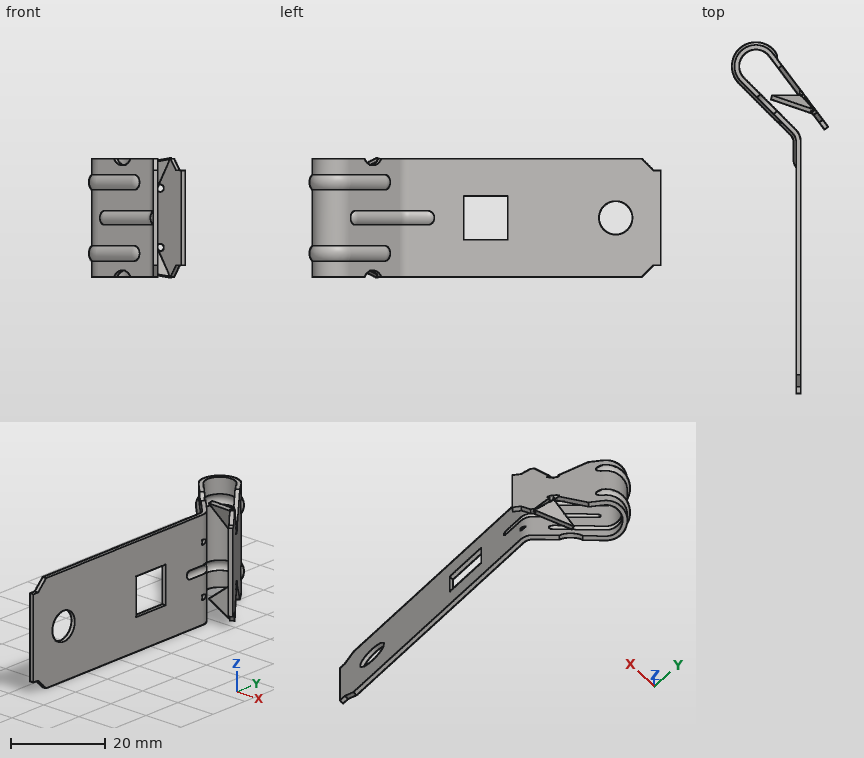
import cadquery as cq
import math

THICKNESS = 1.0
WIDTH = 25.0
BEND_RADIUS = 3.3
BEND_ANGLE = 45.0
COIL_RADIUS = 4.0
COIL_CENTER = (-9.0, 69.0)
COIL_START_ANGLE = 180.0 + BEND_ANGLE
COIL_END_ANGLE = 37.0
ARM_LENGTH = 19.38

END_WIDTH = 20.0
PLATE_SHOULDER = 1.5
ROUND_HOLE_DIAMETER = 7.0
ROUND_HOLE_Y = 9.5
SQUARE_HOLE_SIDE = 9.2
SQUARE_HOLE_Y = 36.9

RIB_HEIGHT = 0.6
SIDE_RIB_WIDTH = 3.2
SIDE_RIB_Z = 7.5
SIDE_RIB_LEG_LENGTH = 10.85
MIDDLE_RIB_WIDTH = 3.0
MIDDLE_RIB_END_Y = 49.2
MIDDLE_RIB_COIL_GAP = 2.1

NOTCH_CENTER = 7.3
NOTCH_LENGTH = 5.0
NOTCH_DEPTH = 1.45

CUT_START = 3.2
CUT_END = (10.7, 5.5)
FOLD_START = (11.4, 6.8)
FOLD_END = 14.6
CHAMFER_START = 15.5
CHAMFER_END = 17.5
RELIEF_DIAMETER = 1.5
RELIEF_CENTER = (0.97, 6.25)

FLAP_ROOT = (0.5, 62.9, 6.5)
FLAP_CORNER = (3.3, 59.85, 12.67)
FLAP_TIP = (-5.6, 62.9, 11.15)


def polar(center, radius, degrees):
    angle = math.radians(degrees)
    return (center[0] + radius * math.cos(angle), center[1] + radius * math.sin(angle))


def along(point, direction, distance):
    return (point[0] + direction[0] * distance, point[1] + direction[1] * distance)


LEG_TOP = polar(COIL_CENTER, COIL_RADIUS, COIL_START_ANGLE)
LEG_DIRECTION = polar((0, 0), 1, -BEND_ANGLE)
VIRTUAL_CORNER_Y = LEG_TOP[1] + LEG_TOP[0] * math.tan(math.radians(BEND_ANGLE))
BEND_Y = VIRTUAL_CORNER_Y - BEND_RADIUS * math.tan(math.radians(BEND_ANGLE / 2))
BEND_CENTER = (-BEND_RADIUS, BEND_Y)
ARM_START = polar(COIL_CENTER, COIL_RADIUS, COIL_END_ANGLE)
ARM_DIRECTION = polar((0, 0), 1, COIL_END_ANGLE - 90)
COIL_MIDDLE_ANGLE = (COIL_START_ANGLE + COIL_END_ANGLE) / 2


def bend_point(offset, angle):
    return polar(BEND_CENTER, BEND_RADIUS - offset, angle)


def coil_point(offset, angle):
    return polar(COIL_CENTER, COIL_RADIUS + offset, angle)


def strip(inner, outer):
    """Band between two offsets from the mid surface; positive is the coil's outside."""
    arm_outer = along(coil_point(outer, COIL_END_ANGLE), ARM_DIRECTION, ARM_LENGTH)
    arm_inner = along(coil_point(inner, COIL_END_ANGLE), ARM_DIRECTION, ARM_LENGTH)
    outline = (
        cq.Workplane("XY")
        .moveTo(-outer, 0)
        .lineTo(*bend_point(outer, 0))
        .threePointArc(bend_point(outer, BEND_ANGLE / 2), bend_point(outer, BEND_ANGLE))
        .lineTo(*coil_point(outer, COIL_START_ANGLE))
        .threePointArc(coil_point(outer, COIL_MIDDLE_ANGLE), coil_point(outer, COIL_END_ANGLE))
        .lineTo(*arm_outer)
        .lineTo(*arm_inner)
        .lineTo(*coil_point(inner, COIL_END_ANGLE))
        .threePointArc(coil_point(inner, COIL_MIDDLE_ANGLE), coil_point(inner, COIL_START_ANGLE))
        .lineTo(*bend_point(inner, BEND_ANGLE))
        .threePointArc(bend_point(inner, BEND_ANGLE / 2), bend_point(inner, 0))
        .lineTo(-inner, 0)
        .close()
    )
    return outline.extrude(WIDTH / 2, both=True)


def rounded_bar(path, ends, radius, z):
    """Round bar along a path in the XY plane, with ball ends, moved to height z."""
    start, finish = ends
    tangent = path.val().tangentAt(0)
    section = cq.Plane(origin=(start[0], start[1], 0), normal=tangent.toTuple())
    bar = cq.Workplane(section).circle(radius).sweep(path)
    for x, y in (start, finish):
        bar = bar.union(cq.Workplane("XY").sphere(radius).translate((x, y, 0)))
    return bar.translate((0, 0, z))


def rib_radius(width):
    return ((width / 2) ** 2 + RIB_HEIGHT ** 2) / (2 * RIB_HEIGHT)


def rib_offset(width):
    """Offset of the rib's axis from the mid surface."""
    return THICKNESS / 2 + RIB_HEIGHT - rib_radius(width)


def side_rib_path():
    offset = rib_offset(SIDE_RIB_WIDTH)
    start = coil_point(offset, COIL_END_ANGLE)
    leg_top = coil_point(offset, COIL_START_ANGLE)
    finish = along(leg_top, LEG_DIRECTION, SIDE_RIB_LEG_LENGTH)
    path = cq.Workplane("XY").moveTo(*start)
    path = path.threePointArc(coil_point(offset, COIL_MIDDLE_ANGLE), leg_top).lineTo(*finish)
    return path.wire(), (start, finish)


def middle_rib_path():
    offset = rib_offset(MIDDLE_RIB_WIDTH)
    start = (-offset, MIDDLE_RIB_END_Y)
    leg_top = coil_point(offset, COIL_START_ANGLE)
    finish = along(leg_top, LEG_DIRECTION, MIDDLE_RIB_COIL_GAP)
    path = cq.Workplane("XY").moveTo(*start).lineTo(*bend_point(offset, 0))
    path = path.threePointArc(bend_point(offset, BEND_ANGLE / 2), bend_point(offset, BEND_ANGLE))
    return path.lineTo(*finish).wire(), (start, finish)


def emboss(sheet, path_and_ends, width, z):
    """Raise a rib on the outside and press the matching groove into the inside."""
    path, ends = path_and_ends
    radius = rib_radius(width)
    outside = strip(0, THICKNESS / 2 + 2 * RIB_HEIGHT)
    ridge = rounded_bar(path, ends, radius, z).intersect(outside)
    groove = rounded_bar(path, ends, radius - THICKNESS, z)
    return sheet.union(ridge).cut(groove)


def plate_cutters():
    """Round hole, square hole and the two clipped corners of the plate end."""
    side_view = cq.Workplane("YZ")
    depth = 2 * THICKNESS
    cutter = side_view.center(ROUND_HOLE_Y, 0).circle(ROUND_HOLE_DIAMETER / 2).extrude(depth, both=True)
    square = side_view.center(SQUARE_HOLE_Y, 0).rect(SQUARE_HOLE_SIDE, SQUARE_HOLE_SIDE)
    cutter = cutter.union(square.extrude(depth, both=True))
    chamfer_end_y = PLATE_SHOULDER + (WIDTH - END_WIDTH) / 2
    corner = (
        side_view.moveTo(0, END_WIDTH / 2)
        .lineTo(PLATE_SHOULDER, END_WIDTH / 2)
        .lineTo(chamfer_end_y, WIDTH / 2)
        .lineTo(0, WIDTH / 2)
        .close()
        .extrude(depth, both=True)
    )
    return cutter.union(corner).union(corner.mirror("XY"))


def notch_cutter():
    """Arc-shaped notch in the upper edge of the leg."""
    plane = cq.Plane(
        origin=(LEG_TOP[0], LEG_TOP[1], WIDTH / 2),
        xDir=(LEG_DIRECTION[0], LEG_DIRECTION[1], 0),
        normal=(LEG_DIRECTION[1], -LEG_DIRECTION[0], 0),
    )
    return (
        cq.Workplane(plane)
        .center(NOTCH_CENTER, 0)
        .moveTo(-NOTCH_LENGTH / 2, 0)
        .threePointArc((0, -NOTCH_DEPTH), (NOTCH_LENGTH / 2, 0))
        .close()
        .extrude(THICKNESS, both=True)
    )


def arm_cutter():
    """Upper flap opening, clipped corner of the arm end and relief hole."""
    plane = cq.Plane(
        origin=(ARM_START[0], ARM_START[1], 0),
        xDir=(ARM_DIRECTION[0], ARM_DIRECTION[1], 0),
        normal=(ARM_DIRECTION[1], -ARM_DIRECTION[0], 0),
    )
    top = WIDTH / 2
    arm = cq.Workplane(plane)
    opening = arm.polyline([(CUT_START, top), CUT_END, FOLD_START, (FOLD_END, top)]).close()
    cutter = opening.extrude(THICKNESS, both=True)
    corner = arm.polyline(
        [
            (CHAMFER_START, top),
            (CHAMFER_END, END_WIDTH / 2),
            (ARM_LENGTH, END_WIDTH / 2),
            (ARM_LENGTH, top),
        ]
    ).close()
    cutter = cutter.union(corner.extrude(THICKNESS, both=True))
    relief_plane = cq.Plane(
        origin=(RELIEF_CENTER[0], BEND_Y, RELIEF_CENTER[1]), xDir=(1, 0, 0), normal=(0, 1, 0)
    )
    relief_depth = ARM_START[1] - BEND_Y
    relief = cq.Workplane(relief_plane).circle(RELIEF_DIAMETER / 2).extrude(relief_depth)
    return cutter.union(relief)


def flap():
    """Upper triangular flap folded from the arm towards the leg."""
    root = cq.Vector(*FLAP_ROOT)
    corner = cq.Vector(*FLAP_CORNER)
    tip = cq.Vector(*FLAP_TIP)
    outline = cq.Wire.makePolygon([root, corner, tip], close=True)
    inward = (corner - root).cross(tip - root).normalized()
    return cq.Workplane(cq.Solid.extrudeLinear(outline, [], inward * THICKNESS))


result = strip(-THICKNESS / 2, THICKNESS / 2)
result = result.cut(plate_cutters())
for rib_z in (-SIDE_RIB_Z, SIDE_RIB_Z):
    result = emboss(result, side_rib_path(), SIDE_RIB_WIDTH, rib_z)
result = emboss(result, middle_rib_path(), MIDDLE_RIB_WIDTH, 0)

notch = notch_cutter()
result = result.cut(notch).cut(notch.mirror("XY"))

upper_flap = flap()
upper_cutter = arm_cutter()
result = result.cut(upper_cutter).cut(upper_cutter.mirror("XY"))
result = result.union(upper_flap).union(upper_flap.mirror("XY"))